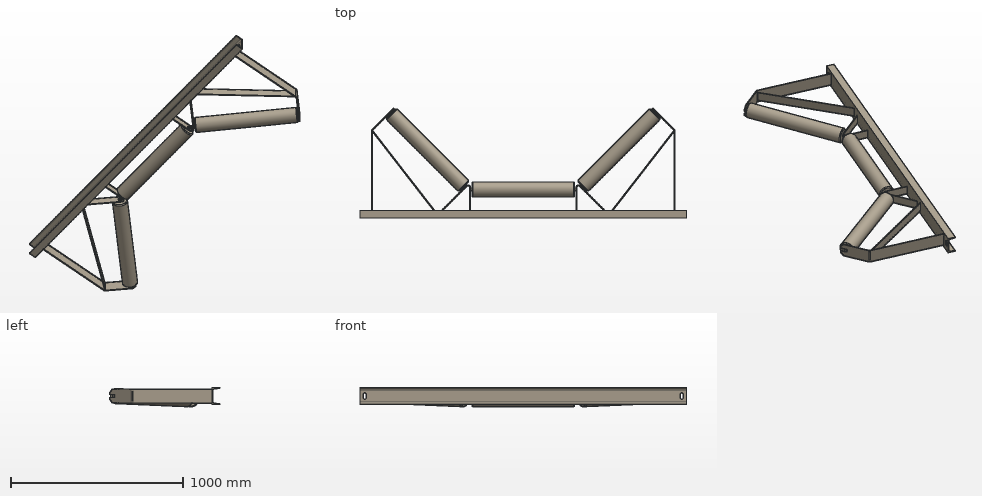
import cadquery as cq
import math


BEAM_LENGTH = 1900.0
BEAM_HEIGHT = 100.0
BEAM_DEPTH = 45.0
WEB_THICKNESS = 6.0
FLANGE_THICKNESS = 8.5
FLANGE_TAPER = 0.08
ROOT_RADIUS = 8.5
TIP_RADIUS = 4.2
MOUNT_SLOT_X = 922.0
MOUNT_SLOT_WIDTH = 17.0
MOUNT_SLOT_LENGTH = 36.0

ROLLER_DIAMETER = 90.0
ROLLER_LENGTH = 598.0
ROLLER_CHAMFER = 5.0
SHAFT_RADIUS = 8.5
SEAT_SPAN = 618.0
TROUGH_ANGLE = 45.0
MIDDLE_AXIS_Y = 122.0
AXIS_DROP = 19.0
INNER_SEAT_X = 338.0
INNER_SEAT_Y = 133.0

PLATE = 6.0
OUTER_ARM_X = 884.0
OUTER_ARM_HEIGHT = 80.0
OUTER_ARM_OVERHANG = 32.0
TIP_CHAMFER = 19.0
INNER_BRACKET_HEIGHT = 51.0
INSIDE_BEND_RADIUS = 10.0
BRACE_HEIGHT = 55.0
BRACE_FOOT_X = 519.0

COS_TROUGH = math.cos(math.radians(TROUGH_ANGLE))
SIN_TROUGH = math.sin(math.radians(TROUGH_ANGLE))
SIDE_TILT = math.degrees(math.asin(AXIS_DROP / SEAT_SPAN))
OUTER_SEAT_X = INNER_SEAT_X + SEAT_SPAN * COS_TROUGH
OUTER_SEAT_Y = INNER_SEAT_Y + SEAT_SPAN * SIN_TROUGH
SLOT_REACH = 95.0
SLOT_CUT_DEPTH = 4 * PLATE


def slanted_leg_point(seat_x, seat_y, offset, x=None, y=None):
    """Where a slanted leg's face, `offset` outward along the roller axis from its seat, has this x or y."""
    face = seat_x * COS_TROUGH + seat_y * SIN_TROUGH + offset
    if y is None:
        return x, (face - x * COS_TROUGH) / SIN_TROUGH
    return (face - y * SIN_TROUGH) / COS_TROUGH, y


def plate(outline, height, middle_z):
    """A plate with this plan outline, `height` tall and centred on `middle_z`."""
    bottom = cq.Workplane("XY").workplane(offset=middle_z - height / 2)
    return bottom.polyline(outline).close().extrude(height)


def round_corner(body, corner, middle_z, radius):
    """Round the upright edge at a plan corner of a plate."""
    point = (corner[0], corner[1], middle_z)
    return body.edges(cq.selectors.NearestToPointSelector(point)).fillet(radius)


def place_at_middle_axis(body):
    """Move a body from the shaft frame (X along the shaft) to the middle roller."""
    return body.translate((0, MIDDLE_AXIS_Y, -AXIS_DROP))


def place_at_side_axis(body):
    """Move a body from the shaft frame (X along the shaft) to the side roller at +X."""
    middle = (
        (INNER_SEAT_X + OUTER_SEAT_X) / 2,
        (INNER_SEAT_Y + OUTER_SEAT_Y) / 2,
        -AXIS_DROP / 2,
    )
    tilted = body.rotate((0, 0, 0), (0, 1, 0), -SIDE_TILT)
    return tilted.rotate((0, 0, 0), (0, 0, 1), TROUGH_ANGLE).translate(middle)


def make_beam():
    half_height = BEAM_HEIGHT / 2
    tip_inside = half_height - FLANGE_THICKNESS + FLANGE_TAPER * BEAM_DEPTH / 2
    root_inside = tip_inside - FLANGE_TAPER * (BEAM_DEPTH - WEB_THICKNESS)
    outline = [
        (0, -half_height),
        (0, half_height),
        (-BEAM_DEPTH, half_height),
        (-BEAM_DEPTH, tip_inside),
        (-WEB_THICKNESS, root_inside),
        (-WEB_THICKNESS, -root_inside),
        (-BEAM_DEPTH, -tip_inside),
        (-BEAM_DEPTH, -half_height),
    ]
    left_end = cq.Workplane("YZ").workplane(offset=-BEAM_LENGTH / 2)
    beam = left_end.polyline(outline).close().extrude(BEAM_LENGTH)
    for side in (1, -1):
        root = (0, -WEB_THICKNESS, side * root_inside)
        tip = (0, -BEAM_DEPTH, side * tip_inside)
        beam = beam.edges(cq.selectors.NearestToPointSelector(root)).fillet(ROOT_RADIUS)
        beam = beam.edges(cq.selectors.NearestToPointSelector(tip)).fillet(TIP_RADIUS)
    slots = (
        cq.Workplane("XZ")
        .pushPoints([(-MOUNT_SLOT_X, 0), (MOUNT_SLOT_X, 0)])
        .slot2D(MOUNT_SLOT_LENGTH, MOUNT_SLOT_WIDTH, 90)
        .extrude(BEAM_DEPTH)
    )
    return beam.cut(slots)


def rod(radius, length):
    """A round bar along X, centred on the origin."""
    return cq.Workplane("YZ").workplane(offset=-length / 2).circle(radius).extrude(length)


def make_roller():
    """A roller with its shaft, centred on the origin of the shaft frame."""
    shell = rod(ROLLER_DIAMETER / 2, ROLLER_LENGTH).faces("<X or >X").chamfer(ROLLER_CHAMFER)
    shaft = rod(SHAFT_RADIUS, SEAT_SPAN + PLATE)
    return shell.union(shaft)


def make_shaft_slots():
    """Cutters for the slots at both shaft ends: round at the shaft and open towards +Y."""
    opening = cq.Workplane("XY").box(SLOT_CUT_DEPTH, SLOT_REACH, 2 * SHAFT_RADIUS)
    opening = opening.translate((0, SLOT_REACH / 2, 0))
    cutter = rod(SHAFT_RADIUS, SLOT_CUT_DEPTH).union(opening)
    half_span = SEAT_SPAN / 2
    return cutter.translate((half_span, 0, 0)).union(cutter.translate((-half_span, 0, 0)))


def outer_arm_inside_fold():
    """Where the inside faces of the outer arm would meet without the bend."""
    return slanted_leg_point(OUTER_SEAT_X, OUTER_SEAT_Y, -PLATE / 2, x=OUTER_ARM_X - PLATE)


def make_outer_arm():
    """The tall bent plate that holds the outer end of a side roller."""
    seat = (OUTER_SEAT_X, OUTER_SEAT_Y)
    outside_fold = slanted_leg_point(*seat, PLATE / 2, x=OUTER_ARM_X)
    inside_fold = outer_arm_inside_fold()
    tip_x = OUTER_SEAT_X - OUTER_ARM_OVERHANG * SIN_TROUGH
    tip_y = OUTER_SEAT_Y + OUTER_ARM_OVERHANG * COS_TROUGH
    half_x = PLATE / 2 * COS_TROUGH
    half_y = PLATE / 2 * SIN_TROUGH
    outline = [
        (OUTER_ARM_X, 0),
        outside_fold,
        (tip_x + half_x, tip_y + half_y),
        (tip_x - half_x, tip_y - half_y),
        inside_fold,
        (OUTER_ARM_X - PLATE, 0),
    ]
    arm = plate(outline, OUTER_ARM_HEIGHT, 0)
    arm = round_corner(arm, outside_fold, 0, INSIDE_BEND_RADIUS + PLATE)
    arm = round_corner(arm, inside_fold, 0, INSIDE_BEND_RADIUS)
    for side in (1, -1):
        tip = (tip_x, tip_y, side * OUTER_ARM_HEIGHT / 2)
        arm = arm.edges(cq.selectors.NearestToPointSelector(tip)).chamfer(TIP_CHAMFER)
    return arm.cut(place_at_side_axis(make_shaft_slots()))


def make_inner_bracket():
    """The V-shaped plate that holds one end of the middle roller and the inner end of a side roller."""
    seat = (INNER_SEAT_X, INNER_SEAT_Y)
    near_x = (SEAT_SPAN - PLATE) / 2
    far_x = near_x + PLATE
    outside_fold = slanted_leg_point(*seat, PLATE / 2, x=near_x)
    inside_fold = slanted_leg_point(*seat, -PLATE / 2, x=far_x)
    outline = [
        (near_x, 0),
        outside_fold,
        slanted_leg_point(*seat, PLATE / 2, y=0),
        slanted_leg_point(*seat, -PLATE / 2, y=0),
        inside_fold,
        (far_x, 0),
    ]
    bracket = plate(outline, INNER_BRACKET_HEIGHT, -AXIS_DROP)
    bracket = round_corner(bracket, outside_fold, -AXIS_DROP, INSIDE_BEND_RADIUS + PLATE)
    bracket = round_corner(bracket, inside_fold, -AXIS_DROP, INSIDE_BEND_RADIUS)
    slots = make_shaft_slots()
    return bracket.cut(place_at_middle_axis(slots)).cut(place_at_side_axis(slots))


def make_brace():
    """The straight plate from the beam to the fold of the outer arm, cut to fit inside the bend."""
    fold_x, fold_y = outer_arm_inside_fold()
    run = fold_x - BRACE_FOOT_X
    length = math.hypot(run, fold_y)
    across_x = PLATE / 2 * fold_y / length
    across_y = PLATE / 2 * run / length
    half_foot = PLATE / 2 * length / fold_y
    outline = [
        (BRACE_FOOT_X - half_foot, 0),
        (BRACE_FOOT_X + half_foot, 0),
        (fold_x + across_x, fold_y - across_y),
        (fold_x - across_x, fold_y + across_y),
    ]
    return plate(outline, BRACE_HEIGHT, 0).cut(make_outer_arm())


beam = make_beam()
middle_roller = place_at_middle_axis(make_roller())
side_parts = [
    place_at_side_axis(make_roller()),
    make_outer_arm(),
    make_inner_bracket(),
    make_brace(),
]

bodies = [beam.solids().val(), middle_roller.solids().val()]
for part in side_parts:
    bodies.append(part.solids().val())
    bodies.append(part.mirror("YZ").solids().val())

result = cq.Compound.makeCompound(bodies)